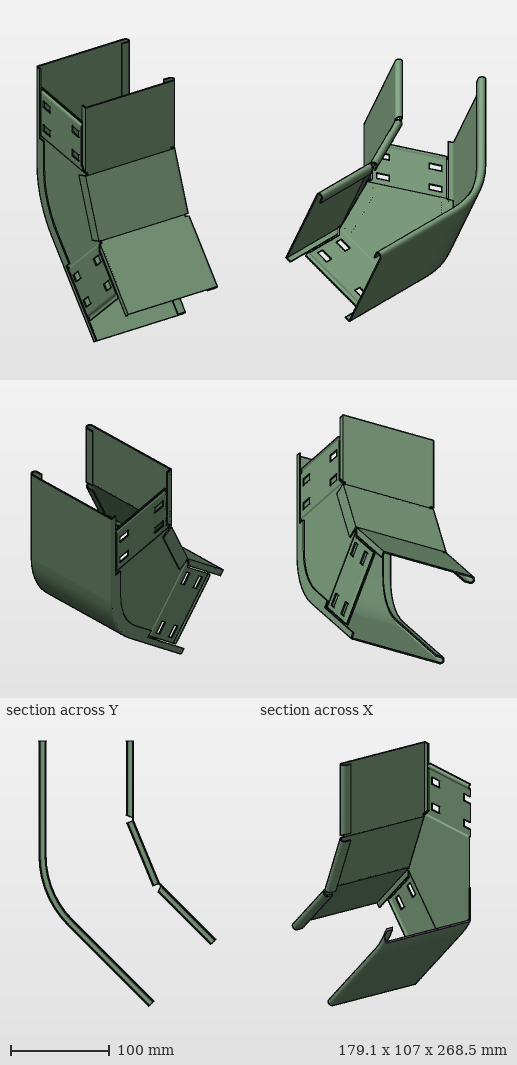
import cadquery as cq
import math

total_height = 268.5
channel_width = 96.0
channel_depth = 107.0
bend_angle = 45.0
bend_radius = 100.0
sheet = 1.3

half_angle = math.radians(bend_angle / 2)
bend_sin = math.sin(math.radians(bend_angle))
bend_cos = math.cos(math.radians(bend_angle))
leg_length = (total_height - bend_radius * bend_sin) / (1 + bend_cos)

lip_width = 6.7
wide_lip_width = 14.2
lip_bend_radius = 1.5
rim_width = 7.8
rim_radius = rim_width / 2
rim_return = 10.2
wide_lip_depth = 81.9

inner_leg_length = 80.3
trim_depth = 78.0
rim_end_depth = 75.0
front_relief = 2.7
rear_relief = 5.6

tab_tip_depth = 20.5
tab_tip_chamfer = 1.0
groove_bottom_depth = 23.0
groove_edge_depth = 27.0
groove_offset = 1.5
gusset_step_start = 76.5
gusset_step_end = 79.0
tab_edge_gap = 8.5
gusset_inset = 2.0
tab_flare_depth = 72.0
slot_length = 13.5
slot_height = 7.5
slot_pitch_x = 55.8
slot_pitch_z = 28.0
first_slot_depth = 37.8

apex_z = -(bend_radius - channel_width) * math.tan(half_angle)
corner_z = leg_length - inner_leg_length
corner_drop = corner_z - apex_z
chord = 2 * corner_drop * math.cos(half_angle)
chord_along = (math.sin(half_angle), -math.cos(half_angle))
chord_inward = (-math.cos(half_angle), -math.sin(half_angle))


def mirrored(body):
    """Copy of a body reflected in the plane that bisects the bend."""
    normal = cq.Vector(math.sin(half_angle), 0, -math.cos(half_angle))
    return body.mirror(normal, (bend_radius, 0, 0))


def upright_plane(y):
    """XZ workplane at the given y; negative extrusions go toward +Y."""
    return cq.Workplane(cq.Plane(origin=(0, y, 0), xDir=(1, 0, 0), normal=(0, -1, 0)))


def cover_section(plane, lip, rounded_corner):
    """Closed sheet section: front lip, web and rolled rear rim; local x points into the channel."""
    rim_start = channel_depth - rim_radius
    return_edge = channel_depth - rim_return
    section = cq.Workplane(plane).moveTo(lip, sheet).lineTo(lip, 0)
    if rounded_corner:
        section = section.lineTo(lip_bend_radius, 0).tangentArcPoint((0, lip_bend_radius), relative=False)
    else:
        section = section.lineTo(0, 0)
    section = (
        section.lineTo(0, rim_start)
        .threePointArc((rim_radius, channel_depth), (rim_width, rim_start))
        .lineTo(rim_width, return_edge)
        .lineTo(rim_width - sheet, return_edge)
        .lineTo(rim_width - sheet, rim_start)
        .threePointArc((rim_radius, channel_depth - sheet), (sheet, rim_start))
    )
    if rounded_corner:
        return (
            section.lineTo(sheet, lip_bend_radius)
            .tangentArcPoint((lip_bend_radius, sheet), relative=False)
            .close()
        )
    return section.lineTo(sheet, sheet).close()


def make_outer_cover():
    """Straight leg, 45 degree bend, straight leg; the lip is wide around the bend."""
    lip_step_z = leg_length - wide_lip_depth
    bend_start = cq.Plane(origin=(0, 0, 0), xDir=(1, 0, 0), normal=(0, 0, 1))
    lip_step = cq.Plane(origin=(0, 0, lip_step_z), xDir=(1, 0, 0), normal=(0, 0, 1))
    leg = cover_section(bend_start, wide_lip_width, True).extrude(lip_step_z)
    leg = leg.union(cover_section(lip_step, lip_width, True).extrude(wide_lip_depth))
    bend = cover_section(bend_start, wide_lip_width, True).revolve(
        bend_angle, (bend_radius, 0, 0), (bend_radius, -1, 0)
    )
    return leg.union(bend).union(mirrored(leg))


def make_inner_leg():
    """Upper leg of the inner cover, relieved at the corner: 45 degree lip end, slanted rim end."""
    top = cq.Plane(origin=(channel_width, 0, leg_length), xDir=(-1, 0, 0), normal=(0, 0, -1))
    leg = cover_section(top, lip_width, False).extrude(inner_leg_length)
    trim_z = leg_length - trim_depth
    lip_trim = (
        upright_plane(0)
        .moveTo(channel_width, trim_z)
        .lineTo(channel_width - lip_width, trim_z + lip_width)
        .lineTo(channel_width - lip_width, corner_z)
        .lineTo(channel_width, corner_z)
        .close()
        .extrude(-front_relief)
    )
    rim_trim = (
        upright_plane(channel_depth - rim_return)
        .moveTo(channel_width, trim_z)
        .lineTo(channel_width - rim_width, leg_length - rim_end_depth)
        .lineTo(channel_width - rim_width, corner_z)
        .lineTo(channel_width, corner_z)
        .close()
        .extrude(-rim_return)
    )
    return leg.cut(lip_trim).cut(rim_trim)


def make_inner_web():
    """Upper half of the inner cover's web, from the upper end to the middle of the slanted wall."""
    middle_x = channel_width + chord_along[0] * chord / 2
    middle_z = corner_z + chord_along[1] * chord / 2
    miter = sheet * math.tan(half_angle / 2)
    return (
        upright_plane(front_relief)
        .moveTo(channel_width, leg_length)
        .lineTo(channel_width, corner_z)
        .lineTo(middle_x, middle_z)
        .lineTo(middle_x + chord_inward[0] * sheet, middle_z + chord_inward[1] * sheet)
        .lineTo(channel_width - sheet, corner_z - miter)
        .lineTo(channel_width - sheet, leg_length)
        .close()
        .extrude(-(channel_depth - front_relief - rear_relief))
    )


def make_inner_cover():
    """Two legs joined by a slanted wall with a wide lip."""
    corner = cq.Plane(
        origin=(channel_width, 0, corner_z),
        xDir=(chord_inward[0], 0, chord_inward[1]),
        normal=(chord_along[0], 0, chord_along[1]),
    )
    slanted_wall = cover_section(corner, wide_lip_width, False).extrude(chord)
    half = make_inner_web().union(make_inner_leg())
    return half.union(mirrored(half)).union(slanted_wall)


def step_arc_ends(front_depth, rear_depth, offset):
    """Front and rear (y, z) points where the two arcs of a stepped sheet meet.

    The step moves the sheet back by the offset between the two depths."""
    rise = front_depth - rear_depth
    slope = 2 * math.atan(offset / rise)
    middle_y = (sheet + offset) / 2
    middle_z = leg_length - (front_depth + rear_depth) / 2
    half_y = sheet / 2 * math.cos(slope)
    half_z = sheet / 2 * math.sin(slope)
    return (middle_y - half_y, middle_z + half_z), (middle_y + half_y, middle_z - half_z)


def make_tab():
    """Upper connecting tab: flush with the lips, grooved along its tip, stepped back at the gusset."""
    tip_z = leg_length - tab_tip_depth
    base_z = leg_length - gusset_step_end
    groove_bottom_z = leg_length - groove_bottom_depth
    lower_side = step_arc_ends(groove_edge_depth, groove_bottom_depth, groove_offset)
    upper_side = step_arc_ends(tab_tip_depth, groove_bottom_depth, groove_offset)
    gusset_step = step_arc_ends(gusset_step_start, gusset_step_end, sheet)
    sheet_strip = (
        cq.Workplane("YZ")
        .moveTo(sheet, base_z - sheet)
        .lineTo(sheet, base_z)
        .tangentArcPoint(gusset_step[0], relative=False)
        .tangentArcPoint((0, leg_length - gusset_step_start), relative=False)
        .lineTo(0, leg_length - groove_edge_depth)
        .tangentArcPoint(lower_side[0], relative=False)
        .tangentArcPoint((groove_offset, groove_bottom_z), relative=False)
        .tangentArcPoint(upper_side[0], relative=False)
        .tangentArcPoint((0, tip_z), relative=False)
        .lineTo(0, tip_z + sheet)
        .lineTo(sheet, tip_z + sheet)
        .lineTo(sheet, tip_z)
        .tangentArcPoint(upper_side[1], relative=False)
        .tangentArcPoint((groove_offset + sheet, groove_bottom_z), relative=False)
        .tangentArcPoint(lower_side[1], relative=False)
        .tangentArcPoint((sheet, leg_length - groove_edge_depth), relative=False)
        .lineTo(sheet, leg_length - gusset_step_start)
        .tangentArcPoint(gusset_step[1], relative=False)
        .tangentArcPoint((2 * sheet, base_z), relative=False)
        .lineTo(2 * sheet, base_z - sheet)
        .close()
        .extrude(channel_width)
    )

    left = tab_edge_gap
    right = channel_width - tab_edge_gap
    flare_z = leg_length - tab_flare_depth
    flare = tab_edge_gap - gusset_inset
    outline = (
        upright_plane(0)
        .moveTo(left, base_z)
        .lineTo(left, tip_z - tab_tip_chamfer)
        .lineTo(left + tab_tip_chamfer, tip_z)
        .lineTo(right - tab_tip_chamfer, tip_z)
        .lineTo(right, tip_z - tab_tip_chamfer)
        .lineTo(right, flare_z)
        .lineTo(right + flare, flare_z - flare)
        .lineTo(right + flare, base_z)
        .close()
        .extrude(-(groove_offset + sheet))
    )
    slots = (
        upright_plane(0)
        .center(channel_width / 2, leg_length - first_slot_depth - slot_pitch_z / 2)
        .rarray(slot_pitch_x, slot_pitch_z, 2, 2)
        .rect(slot_length, slot_height)
        .extrude(-sheet)
    )
    return sheet_strip.intersect(outline).cut(slots)


def make_half_gusset():
    """Upper half of the gusset, lying against the back of the lips, up to the bisecting plane."""
    arc_radius = bend_radius - gusset_inset
    base_z = leg_length - gusset_step_end
    corner_x = channel_width - gusset_inset
    middle_x = channel_width + chord_along[0] * chord / 2 + chord_inward[0] * gusset_inset
    middle_z = corner_z + chord_along[1] * chord / 2 + chord_inward[1] * gusset_inset

    def on_arc(angle):
        return (bend_radius - arc_radius * math.cos(angle), -arc_radius * math.sin(angle))

    return (
        upright_plane(sheet)
        .moveTo(gusset_inset, base_z)
        .lineTo(gusset_inset, 0)
        .threePointArc(on_arc(half_angle / 2), on_arc(half_angle))
        .lineTo(middle_x, middle_z)
        .lineTo(corner_x, corner_z - gusset_inset * math.tan(half_angle / 2))
        .lineTo(corner_x, base_z)
        .close()
        .extrude(-sheet)
    )


def make_base_plate():
    """Gusset with a connecting tab at each end."""
    half = make_half_gusset().union(make_tab())
    return half.union(mirrored(half))


outer_cover = make_outer_cover()
inner_cover = make_inner_cover()
base_plate = make_base_plate()
result = cq.Compound.makeCompound(
    [*outer_cover.solids().vals(), *inner_cover.solids().vals(), *base_plate.solids().vals()]
)